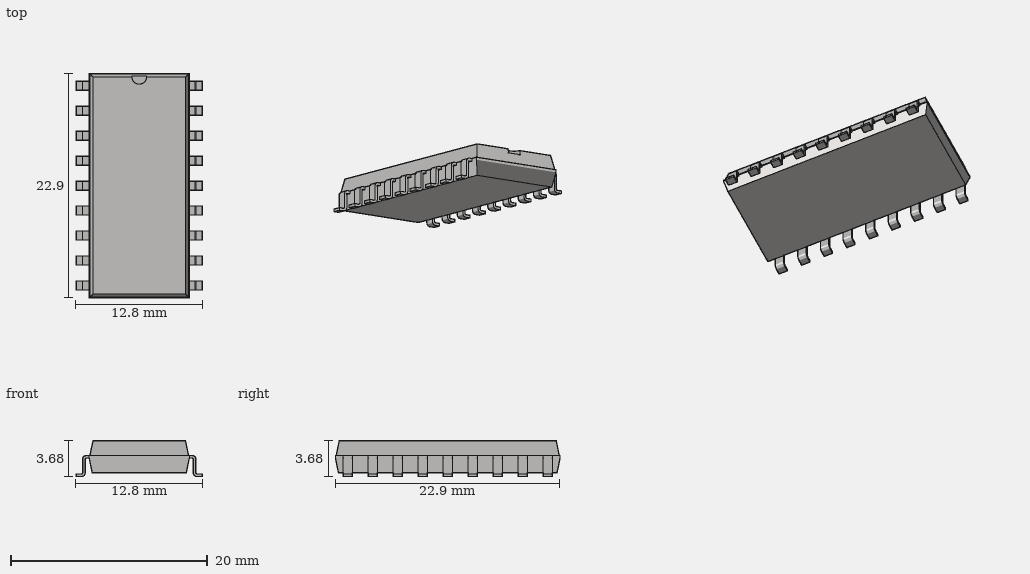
import cadquery as cq

OVERALL_WIDTH = 12.84
OVERALL_HEIGHT = 3.68
STANDOFF = 0.38

BAND_WIDTH = 10.2
BAND_LENGTH = 22.86
BAND_THICKNESS = 0.3
BAND_BOTTOM = (STANDOFF + OVERALL_HEIGHT - BAND_THICKNESS) / 2
BAND_TOP = BAND_BOTTOM + BAND_THICKNESS
LEDGE = 0.08
DRAFT = 0.31

NOTCH_RADIUS = 0.75
NOTCH_OVERHANG = 0.03
NOTCH_DEPTH = 0.45

LEADS_PER_SIDE = 9
LEAD_PITCH = 2.54
LEAD_WIDTH = 0.94
LEAD_CLEARANCE = 0.01
LEAD_THICKNESS = BAND_THICKNESS - 2 * LEAD_CLEARANCE
LEAD_TOP = BAND_TOP - LEAD_CLEARANCE
BEND_INNER_RADIUS = 0.12
BEND_OUTER_RADIUS = BEND_INNER_RADIUS + LEAD_THICKNESS
LEAD_DROP_OFFSET = 0.65
LEAD_EMBED = 0.5


def tapered_half(base_z, inset, height):
    """Half of the body, narrowing from base_z; a negative height points down."""
    width = BAND_WIDTH - 2 * inset
    length = BAND_LENGTH - 2 * inset
    return (
        cq.Workplane("XY", origin=(0, 0, base_z))
        .rect(width, length)
        .workplane(offset=height)
        .rect(width - 2 * DRAFT, length - 2 * DRAFT)
        .loft(ruled=True)
    )


def make_body():
    band = cq.Workplane("XY", origin=(0, 0, BAND_BOTTOM)).box(
        BAND_WIDTH, BAND_LENGTH, BAND_THICKNESS, centered=(True, True, False)
    )
    upper = tapered_half(BAND_TOP, LEDGE, OVERALL_HEIGHT - BAND_TOP)
    lower = tapered_half(BAND_BOTTOM, 0, STANDOFF - BAND_BOTTOM)
    return band.union(upper).union(lower)


def make_notch():
    axis_y = BAND_LENGTH / 2 - LEDGE - DRAFT + NOTCH_OVERHANG
    return (
        cq.Workplane("XY", origin=(0, axis_y, OVERALL_HEIGHT - NOTCH_DEPTH))
        .circle(NOTCH_RADIUS)
        .extrude(NOTCH_DEPTH)
    )


def make_lead():
    """Gull-wing lead on the -X side, centred on Y = 0."""
    toe_x = -OVERALL_WIDTH / 2
    upright_outer_x = toe_x + LEAD_DROP_OFFSET
    upright_inner_x = upright_outer_x + LEAD_THICKNESS
    root_x = -BAND_WIDTH / 2 + LEAD_EMBED
    shoulder_bottom = LEAD_TOP - LEAD_THICKNESS
    strip = (
        cq.Workplane("XZ")
        .moveTo(toe_x, 0)
        .lineTo(upright_inner_x, 0)
        .lineTo(upright_inner_x, shoulder_bottom)
        .lineTo(root_x, shoulder_bottom)
        .lineTo(root_x, LEAD_TOP)
        .lineTo(upright_outer_x, LEAD_TOP)
        .lineTo(upright_outer_x, LEAD_THICKNESS)
        .lineTo(toe_x, LEAD_THICKNESS)
        .close()
        .extrude(LEAD_WIDTH / 2, both=True)
    )

    def bend_edge(x, z):
        return cq.selectors.NearestToPointSelector((x, 0, z))

    strip = strip.edges(bend_edge(upright_inner_x, 0)).fillet(BEND_OUTER_RADIUS)
    strip = strip.edges(bend_edge(upright_outer_x, LEAD_TOP)).fillet(BEND_OUTER_RADIUS)
    strip = strip.edges(bend_edge(upright_inner_x, shoulder_bottom)).fillet(BEND_INNER_RADIUS)
    return strip.edges(bend_edge(upright_outer_x, LEAD_THICKNESS)).fillet(BEND_INNER_RADIUS)


def add_leads(body):
    left_lead = make_lead()
    right_lead = left_lead.mirror("YZ")
    for index in range(LEADS_PER_SIDE):
        y = (index - (LEADS_PER_SIDE - 1) / 2) * LEAD_PITCH
        for lead in (left_lead, right_lead):
            body = body.union(lead.translate((0, y, 0)))
    return body


result = add_leads(make_body().cut(make_notch()))